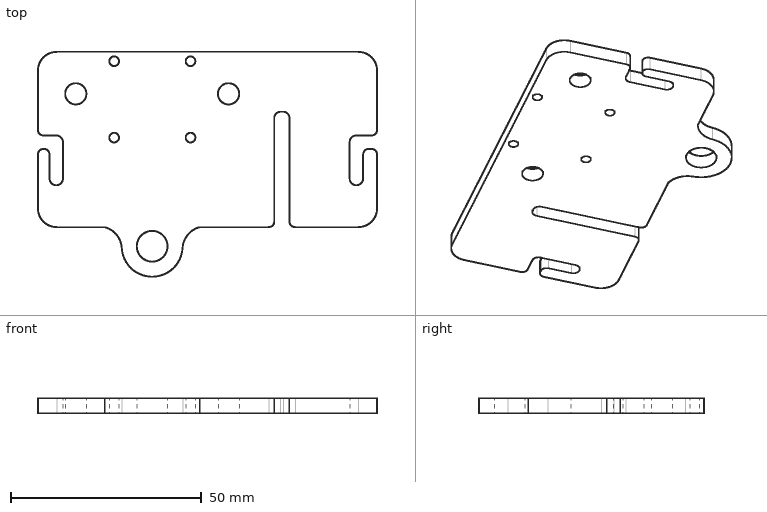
import cadquery as cq
import math

length = 89.0
width = 46.0
thickness = 4.0
corner_radius = 5.0

lug_x = 30.0
lug_radius = 8.0
lug_reach = 13.0
lug_hole_diameter = 8.0
blend_reach = 14.0
blend_drop = 5.8
lug_y = lug_radius - lug_reach

small_diameter = 2.5
small_spacing = 20.0
small_first_x = 20.0
small_edge_distance = 2.5
large_diameter = 5.5
large_first_x = 10.0
large_spacing = 40.05
large_y = 35.0

slot_x = 64.0
slot_width = 3.9
slot_depth = 30.3
slot_end_radius = 1.6
mouth_radius = 1.5

hook_width = 3.5
hook_top = 24.0
hook_bottom = 11.0
left_finger = 3.1
right_finger = 3.7
hook_lip_radius = 1.5
hook_inner_radius = 1.7
finger_radius = 1.5


def block(x_min, x_max, y_min, y_max):
    """Plate-thick block between the given limits."""
    return cq.Workplane("XY").box(
        x_max - x_min, y_max - y_min, thickness, centered=False
    ).translate((x_min, y_min, 0))


def disc(x, y, diameter):
    """Plate-thick disc centred at x, y."""
    return cq.Workplane("XY").center(x, y).circle(diameter / 2).extrude(thickness)


def round_corner(body, x, y, radius):
    """Fillet the upright edge at x, y."""
    edge = cq.selectors.NearestToPointSelector((x, y, thickness / 2))
    return body.edges(edge).fillet(radius)


def add_lug(body):
    """Add the lug, blended by concave arcs tangent to its rim, and bore it."""
    centre_distance = math.hypot(blend_reach, lug_y + blend_drop)
    blend_radius = centre_distance - lug_radius
    neck_half = blend_reach - math.sqrt(blend_radius**2 - blend_drop**2)
    touch_y = lug_y - (lug_y + blend_drop) * lug_radius / centre_distance
    neck = block(lug_x - neck_half, lug_x + neck_half, touch_y, corner_radius)
    for side in (-1, 1):
        neck = neck.cut(disc(lug_x + side * blend_reach, -blend_drop, 2 * blend_radius))
    body = body.union(neck).union(disc(lug_x, lug_y, 2 * lug_radius))
    return body.cut(disc(lug_x, lug_y, lug_hole_diameter))


def cut_long_slot(body):
    """Cut the slot and round its inner corners and its mouth."""
    half = slot_width / 2
    body = body.cut(block(slot_x - half, slot_x + half, 0, slot_depth))
    for x in (slot_x - half, slot_x + half):
        body = round_corner(body, x, slot_depth, slot_end_radius)
        body = round_corner(body, x, 0, mouth_radius)
    return body


def cut_hook(body, end_x, inward, finger):
    """Cut a hook notch; inward is +1 at the left end and -1 at the right end."""
    outer_x = end_x + inward * finger
    inner_x = outer_x + inward * hook_width
    middle_x = (outer_x + inner_x) / 2
    finger_top = hook_top - hook_width
    end_y = hook_bottom + hook_width / 2
    body = body.cut(block(min(end_x, inner_x), max(end_x, inner_x), finger_top, hook_top))
    body = body.cut(block(min(outer_x, inner_x), max(outer_x, inner_x), end_y, hook_top))
    body = body.cut(disc(middle_x, end_y, hook_width))
    body = round_corner(body, end_x, hook_top, hook_lip_radius)
    body = round_corner(body, inner_x, hook_top, hook_inner_radius)
    for x in (end_x, outer_x):
        body = round_corner(body, x, finger_top, finger_radius)
    return body


def drill_holes(body):
    """Drill the square of four small holes and the pair of large holes."""
    small_top_y = width - small_edge_distance
    for column in range(2):
        small_x = small_first_x + column * small_spacing
        for row in range(2):
            body = body.cut(disc(small_x, small_top_y - row * small_spacing, small_diameter))
        body = body.cut(disc(large_first_x + column * large_spacing, large_y, large_diameter))
    return body


plate = block(0, length, 0, width).edges("|Z").fillet(corner_radius)
plate = add_lug(plate)
plate = cut_long_slot(plate)
plate = cut_hook(plate, 0, 1, left_finger)
plate = cut_hook(plate, length, -1, right_finger)
result = drill_holes(plate)